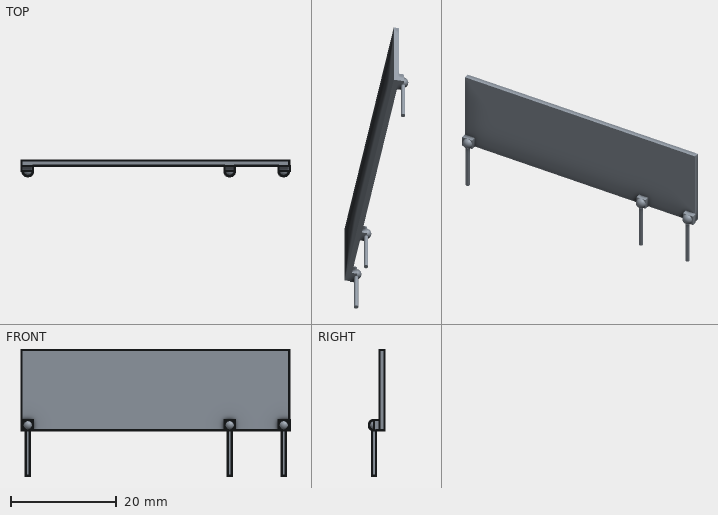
import cadquery as cq

overall_length = 50.8
plate_length = 50.65
plate_height = 15.25
plate_thickness = 1.0

dome_diameter = 2.0
dome_radius = dome_diameter / 2
block_depth = dome_radius
block_height = dome_diameter

pin_diameter = 0.8
pin_drop = 8.6
edge_distance = 1.2
last_pin_pitch = 10.2

front_face = -block_depth
right_pin_x = overall_length - edge_distance
middle_pin_x = right_pin_x - last_pin_pitch
contacts = [
    (edge_distance, 0, edge_distance + dome_radius),
    (middle_pin_x, middle_pin_x - dome_radius, middle_pin_x + dome_radius),
    (right_pin_x, right_pin_x - dome_radius, overall_length),
]


def make_plate():
    return cq.Workplane("XY").box(plate_length, plate_thickness, plate_height, centered=False)


def make_block(left, right):
    block = cq.Workplane("XY").box(right - left, block_depth, block_height, centered=False)
    return block.translate((left, front_face, 0))


def make_dome(pin_x):
    """Half ball with its flat side against the front face of a block."""
    ball = cq.Workplane("XY").sphere(dome_radius)
    front_half = cq.Workplane("XY").box(
        dome_diameter, dome_radius, dome_diameter, centered=(True, False, True)
    ).translate((0, -dome_radius, 0))
    return ball.intersect(front_half).translate((pin_x, front_face, dome_radius))


def make_pin(pin_x):
    """Round pin centred under the joint between block and dome."""
    pin = cq.Workplane("XY").circle(pin_diameter / 2).extrude(-pin_drop)
    return pin.translate((pin_x, front_face, 0))


plate = make_plate()
blocks = [make_block(left, right) for _, left, right in contacts]
domes = [make_dome(pin_x) for pin_x, _, _ in contacts]
pins = [make_pin(pin_x) for pin_x, _, _ in contacts]

result = cq.Compound.makeCompound([body.val() for body in [plate, *blocks, *domes, *pins]])